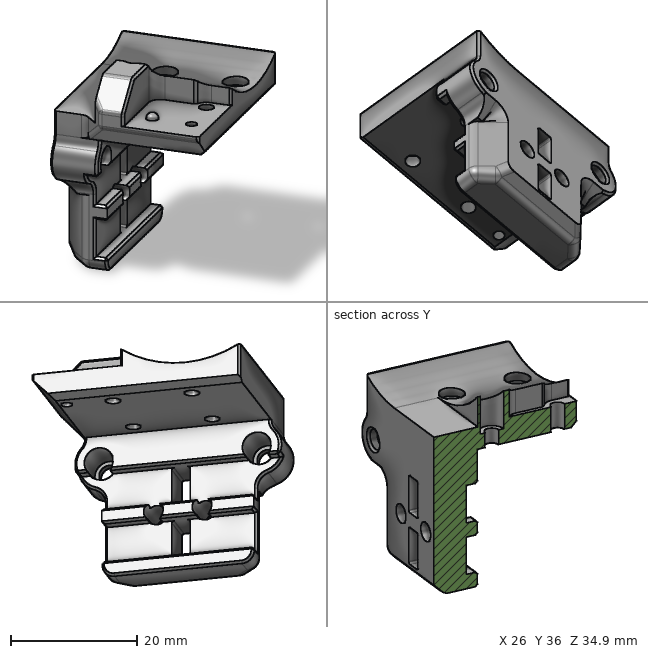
import cadquery as cq
import math


length = 26.0
height = 34.9
front_y = -19.0
edge_break = 0.4
far = 71.98
tolerance = 0.005

plate_thickness = 6.0
rib_face_x = 8.0
lower_half_width = 12.5
upper_half_width = 15.33
lug_y = 13.0
lug_z = 19.5
lug_radius = 4.0
neck_radius = 2.55
lug_hole_d = 3.4
lug_countersink_d = 4.2
lug_back_bore_d = 4.7
lug_seat_x = 1.7

side_bevel = 4.0
bottom_bevel = 2.0
bevel_blend_radius = 2.0
bevel_top_z = 13.0
bevel_end_radius = 2.88

slot_width = 3.0
slot_corner_radius = 0.35
lower_recess = (2.6, 9)
upper_recess = (11.55, 18)
plate_hole_d = 3.2
plate_hole_y = 4.0
plate_hole_z = (lower_recess[1] + upper_recess[0]) / 2

underside_z = 23.83
head_start_x = 1.8
head_setback = 3.67
head_blend_radius = 1.0
plan_corner_x = 5.47
plan_blend_radius = 2.0
top_front_y = -14.43
brow_z = height - (top_front_y - front_y)
tip_z = 30.05
underside_bevel = 1.0

saddle_radius = 18.35
saddle_y = 6.25
ledge_z = 27.8
shelf_z = 28.3
block_end_x = 13.25
shelf_wall_y = -5.9
shelf_corner_radius = 1.98

screw_xs = (10.58, 22.53)
screw_ys = (6.4, -6.55)
screw_d = 2.4
counterbore_d = 4.2
counterbore_floor_z = 26.45
pin_hole_d = 1.8
pin_hole_x = 22.9
pin_y = -14.07
bump_x = 16.23
bump_radius = 1.0


def box(x0, x1, y0, y1, z0, z1):
    return cq.Workplane("XY").box(x1 - x0, y1 - y0, z1 - z0, centered=False).translate((x0, y0, z0))


def neck(wall_y, side):
    """Arc joining a wall to the lug, above (side = 1) or below (side = -1) the lug centre.

    Returns the points on the wall, in the middle of the arc and on the lug.
    """
    centre_distance = lug_radius + neck_radius
    dy = wall_y + neck_radius - lug_y
    dz = side * math.sqrt(centre_distance**2 - dy**2)
    centre_y = lug_y + dy
    centre_z = lug_z + dz
    on_wall = (wall_y, centre_z)
    to_lug = math.atan2(-dz, -dy)
    to_wall = side * -math.pi
    middle = (to_lug + to_wall) / 2
    on_arc = (centre_y + neck_radius * math.cos(middle), centre_z + neck_radius * math.sin(middle))
    on_lug = (lug_y + dy * lug_radius / centre_distance, lug_z + dz * lug_radius / centre_distance)
    return on_wall, on_arc, on_lug


def mirrored(half):
    return half.union(half.mirror("XZ")).clean()


def lug_panel():
    """Upper panel with the lugs, from the end of the side bevels upwards."""
    low_wall, low_arc, low_lug = neck(lower_half_width, -1)
    high_wall, high_arc, high_lug = neck(upper_half_width, 1)
    half = (
        cq.Workplane("YZ")
        .moveTo(0, bevel_top_z)
        .lineTo(lower_half_width, bevel_top_z)
        .lineTo(*low_wall)
        .threePointArc(low_arc, low_lug)
        .threePointArc((lug_y + lug_radius, lug_z), high_lug)
        .threePointArc(high_arc, high_wall)
        .lineTo(upper_half_width, tip_z)
        .lineTo(0, tip_z)
        .close()
        .extrude(rib_face_x)
    )
    panel = mirrored(half)
    return panel.faces("<X").edges("not(<Z or >Z)").chamfer(edge_break)


def bevel_end_cut():
    """Upper end of a side bevel: a 45 degree cone that runs out sideways under the lug."""
    axis_y = lower_half_width - side_bevel + bevel_end_radius
    outer_y = lower_half_width + neck_radius
    cone = cq.Solid.makeCone(
        bevel_end_radius, 0, bevel_end_radius, cq.Vector(0, axis_y, bevel_top_z), cq.Vector(1, 0, 0)
    )
    runout = (
        cq.Workplane("XZ", origin=(0, outer_y, 0))
        .moveTo(0, bevel_top_z)
        .lineTo(bevel_end_radius, bevel_top_z)
        .lineTo(0, bevel_top_z + bevel_end_radius)
        .close()
        .extrude(outer_y - axis_y)
    )
    return runout.union(cq.Workplane(cone))


def bevelled_panel():
    """Lower panel, bevelled towards the mounting face at its sides and bottom, with blended edges."""
    half = (
        cq.Workplane("XY")
        .polyline(
            [
                (0, 0),
                (0, lower_half_width - side_bevel),
                (side_bevel, lower_half_width),
                (rib_face_x, lower_half_width),
                (rib_face_x, 0),
            ]
        )
        .close()
        .extrude(bevel_top_z)
    )
    bottom = (
        cq.Workplane("XZ")
        .lineTo(bottom_bevel, 0)
        .lineTo(0, bottom_bevel)
        .close()
        .extrude(-lower_half_width)
    )
    half = half.cut(bottom)
    points_on_blended_edges = [
        (rib_face_x, lower_half_width, 0),
        (side_bevel, lower_half_width, bevel_top_z / 2),
        (bottom_bevel, lower_half_width / 3, 0),
        (bottom_bevel / 2, lower_half_width - side_bevel + bottom_bevel / 2, bottom_bevel / 2),
        (
            (bottom_bevel + side_bevel) / 2,
            lower_half_width - (side_bevel - bottom_bevel) / 2,
            0,
        ),
    ]
    blended = [half.edges(cq.selectors.NearestToPointSelector(p)).val() for p in points_on_blended_edges]
    return mirrored(half.newObject(blended).fillet(bevel_blend_radius))


def recess(z_range):
    z0, z1 = z_range
    return box(plate_thickness, far, -far, far, z0, z1)


def slot(z_range):
    z0, z1 = z_range
    cutter = box(-far, far, -slot_width / 2, slot_width / 2, z0, z1)
    return cutter.edges("|X").fillet(slot_corner_radius)


def back_edges(body):
    """Outer edges around the recess floors, the recess sides and the raised back faces.

    The inner corners of the recesses and the flanks of the middle rib stay sharp.
    """
    chosen = []
    for edge in body.edges().vals():
        middle = edge.Center()
        box_of_edge = edge.BoundingBox()
        on_floor = box_of_edge.xmax < plate_thickness + tolerance
        along_y = box_of_edge.zlen < tolerance and box_of_edge.xlen < tolerance
        on_middle_rib = lower_recess[1] + tolerance < middle.z < upper_recess[0] - tolerance
        if middle.x > plate_thickness - tolerance and not (on_floor and along_y) and not on_middle_rib:
            chosen.append(edge)
    return body.newObject(chosen)


def plate():
    bevel_end = bevel_end_cut()
    body = bevelled_panel().union(lug_panel())
    body = body.cut(bevel_end).cut(bevel_end.mirror("XZ"))
    for z_range in (lower_recess, upper_recess):
        body = body.cut(recess(z_range))
    body = back_edges(body).chamfer(edge_break)
    for z_range in (lower_recess, upper_recess):
        body = body.cut(slot(z_range))
    for sign in (-1, 1):
        body = body.cut(lug_hole(sign * lug_y)).cut(plate_hole(sign * plate_hole_y))
    return body


def plate_hole(y):
    return cq.Workplane("YZ").center(y, plate_hole_z).circle(plate_hole_d / 2).extrude(rib_face_x)


def lug_hole(y):
    bore = cq.Workplane("YZ").center(y, lug_z).circle(lug_hole_d / 2).extrude(rib_face_x)
    countersink_depth = (lug_countersink_d - lug_hole_d) / 2
    countersink = cq.Solid.makeCone(
        lug_countersink_d / 2, lug_hole_d / 2, countersink_depth, cq.Vector(0, y, lug_z), cq.Vector(1, 0, 0)
    )
    back_bore = (
        cq.Workplane("YZ", origin=(lug_seat_x, y, lug_z)).circle(lug_back_bore_d / 2).extrude(rib_face_x)
    )
    return bore.union(cq.Workplane(countersink)).union(back_bore)


def nose_root_blend(wall_y):
    """Rounded filling of the 45 degree inner corner between the side wall and the nose."""
    tangent = plan_blend_radius * math.tan(math.pi / 8)
    diagonal = tangent * math.sqrt(0.5)
    return (
        cq.Workplane("XY")
        .moveTo(plan_corner_x - tangent, wall_y)
        .radiusArc((plan_corner_x + diagonal, wall_y - diagonal), plan_blend_radius)
        .lineTo(plan_corner_x + diagonal, wall_y)
        .close()
        .extrude(height)
    )


def head_blank():
    """Head with its front nose, before the saddle, ledge and shelf are cut."""
    side_profile = (
        cq.Workplane("YZ")
        .polyline(
            [
                (upper_half_width, underside_z),
                (upper_half_width, tip_z),
                (saddle_y, tip_z),
                (saddle_y, height),
                (top_front_y, height),
                (front_y, brow_z),
                (front_y, underside_z + head_setback),
                (front_y + head_setback, underside_z),
            ]
        )
        .close()
        .extrude(length)
    )
    plan_y = front_y + head_setback
    nose_x = plan_corner_x + head_setback
    plan = (
        cq.Workplane("XY")
        .polyline(
            [
                (head_start_x, upper_half_width),
                (length, upper_half_width),
                (length, front_y),
                (nose_x, front_y),
                (plan_corner_x, plan_y),
                (head_start_x, plan_y),
            ]
        )
        .close()
        .extrude(height)
        .edges("|Z and >X")
        .chamfer(edge_break)
    )
    head = side_profile.intersect(plan)
    nose_face = head.faces(cq.selectors.DirectionMinMaxSelector(cq.Vector(0, -1, 0)))
    nose_edges = nose_face.edges("not(>X)")
    corner_edges = head.edges(cq.selectors.ParallelDirSelector(cq.Vector(1, -1, 1))).add(
        head.edges(cq.selectors.ParallelDirSelector(cq.Vector(1, -1, -1)))
    )
    ridge = head.edges(cq.selectors.NearestToPointSelector((length / 2, top_front_y, height)))
    head = head.newObject(nose_edges.vals() + corner_edges.vals() + ridge.vals()).fillet(head_blend_radius)
    head = head.union(nose_root_blend(plan_y).intersect(side_profile))
    return head.edges("<Z and >X").chamfer(underside_bevel)


def saddle_cut():
    axis_z = ledge_z + saddle_radius
    return cq.Workplane("YZ").center(saddle_y, axis_z).circle(saddle_radius).extrude(far)


def shelf_cut():
    """Space above the shelf: right of the block, stepped around one screw, rounded in its inner corner."""
    screw_x = screw_xs[1]
    screw_y = screw_ys[1]
    radius = counterbore_d / 2
    wall_y = screw_y + radius
    step_angle = math.asin((shelf_wall_y - screw_y) / radius)
    step_x = screw_x - radius * math.cos(step_angle)
    start_angle = step_angle + edge_break / radius
    arc_start = (screw_x - radius * math.cos(start_angle), screw_y + radius * math.sin(start_angle))
    return (
        cq.Workplane("XY", origin=(0, 0, shelf_z))
        .moveTo(block_end_x, -far)
        .lineTo(block_end_x, shelf_wall_y - shelf_corner_radius)
        .radiusArc((block_end_x + shelf_corner_radius, shelf_wall_y), shelf_corner_radius)
        .lineTo(step_x - edge_break, shelf_wall_y)
        .lineTo(*arc_start)
        .radiusArc((screw_x, wall_y), radius)
        .lineTo(length - edge_break, wall_y)
        .lineTo(length, wall_y + edge_break)
        .lineTo(far, wall_y + edge_break)
        .lineTo(far, -far)
        .close()
        .extrude(far)
    )


def block_edge_cut(head):
    """Material outside the chamfer along the front, slope and top edges of the block's shelf side."""
    block_end_y = shelf_wall_y - shelf_corner_radius
    block = head.intersect(box(rib_face_x, block_end_x, -far, block_end_y, shelf_z, far))
    return block.cut(block.faces(">X").edges("not(<Z or >Y)").chamfer(edge_break))


def vertical_hole(x, y, diameter, floor_z=0):
    return cq.Workplane("XY", origin=(x, y, floor_z)).circle(diameter / 2).extrude(far)


head = head_blank()
body = plate().union(head)
ledge_cut = box(-0.35, rib_face_x, -far, saddle_y, ledge_z, far)
body = body.cut(saddle_cut()).cut(ledge_cut).cut(shelf_cut()).cut(block_edge_cut(head))

for x in screw_xs:
    for y in screw_ys:
        body = body.cut(vertical_hole(x, y, screw_d))

for x, y in ((screw_xs[0], screw_ys[0]), (screw_xs[1], screw_ys[0]), (screw_xs[0], screw_ys[1])):
    body = body.cut(vertical_hole(x, y, counterbore_d, counterbore_floor_z))

body = body.cut(vertical_hole(pin_hole_x, pin_y, pin_hole_d))
bump = cq.Workplane("XY").sphere(bump_radius).translate((bump_x, pin_y, shelf_z))
result = body.union(bump)